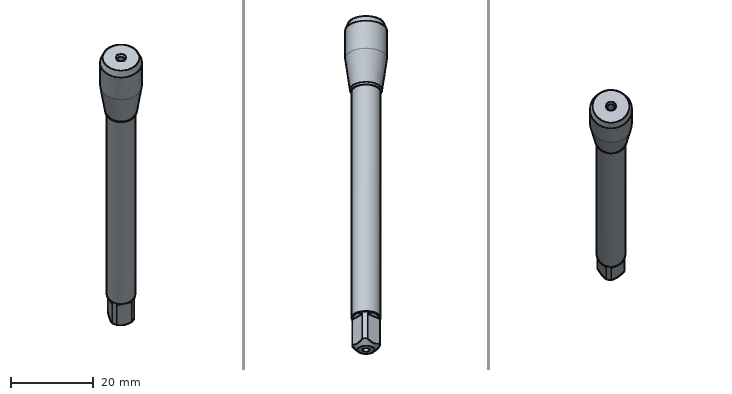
import cadquery as cq

total_length = 90.0
drive_length = 8.8
head_length = 18.5
head_taper_length = 9.3
head_top_bevel_height = 1.7
head_bottom_bevel = 0.5

head_diameter = 10.2
head_top_diameter = 8.8
taper_end_diameter = 7.8
shaft_diameter = 7.0
drive_diameter = 6.75
shaft_end_bevel = (shaft_diameter - drive_diameter) / 2

square_width = 5.6
tip_diameter = 4.1
flat_depth = (shaft_diameter - square_width) / 2

hole_diameter = 1.7
countersink_diameter = 2.4
countersink_depth = 0.6


def make_turned_body():
    """Revolve the head, shaft and round drive blank with its 45 degree tip."""
    tip_bevel = (drive_diameter - tip_diameter) / 2
    head_bottom = total_length - head_length
    taper_bottom = head_bottom + head_bottom_bevel
    taper_top = head_bottom + head_taper_length
    bevel_bottom = total_length - head_top_bevel_height
    profile = [
        (0, 0),
        (tip_diameter / 2, 0),
        (drive_diameter / 2, tip_bevel),
        (drive_diameter / 2, drive_length - shaft_end_bevel),
        (shaft_diameter / 2, drive_length),
        (shaft_diameter / 2, head_bottom),
        (taper_end_diameter / 2 - head_bottom_bevel / 2, head_bottom),
        (taper_end_diameter / 2, taper_bottom),
        (head_diameter / 2, taper_top),
        (head_diameter / 2, bevel_bottom),
        (head_top_diameter / 2, total_length),
        (0, total_length),
    ]
    return cq.Workplane("XZ").polyline(profile).close().revolve(360, (0, 0), (0, 1))


def make_flat_cutter():
    """Remove one side of the drive, running out at 45 degrees into the shaft."""
    inner = square_width / 2
    outer = shaft_diameter / 2
    outline = [
        (inner, 0),
        (outer, 0),
        (outer, drive_length),
        (inner, drive_length - flat_depth),
    ]
    return cq.Workplane("XZ").polyline(outline).close().extrude(shaft_diameter / 2, both=True)


result = make_turned_body()

flat_cutter = make_flat_cutter()
for quarter in range(4):
    result = result.cut(flat_cutter.rotate((0, 0, 0), (0, 0, 1), 90 * quarter))

hole = cq.Workplane("XY").circle(hole_diameter / 2).extrude(total_length)
countersink = (
    cq.Workplane("XY")
    .workplane(offset=total_length - countersink_depth)
    .circle(hole_diameter / 2)
    .workplane(offset=countersink_depth)
    .circle(countersink_diameter / 2)
    .loft()
)
result = result.cut(hole).cut(countersink)